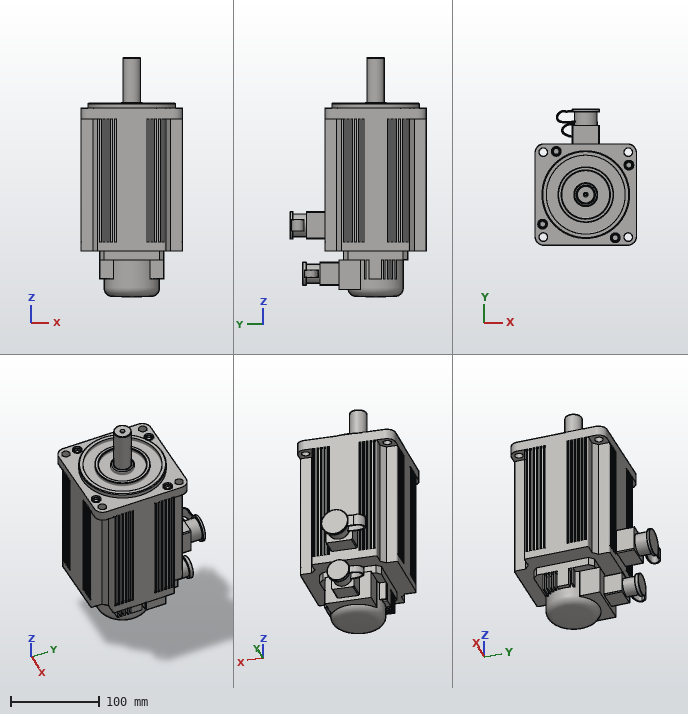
import cadquery as cq
import math


overall_length = 271.96
overall_depth = 154.81

square = 115.37
half = square / 2
flange_thickness = 12.3
flange_corner_radius = 10.5
body_length = 139.4
cap_length = 10.5
plate_thickness = 9.9
flange_bottom = -flange_thickness
body_bottom = flange_bottom - body_length
cap_bottom = body_bottom - cap_length
plate_bottom = cap_bottom - plate_thickness

notch_wall = 38.6
notch_diagonal = 44.2
notch_lip_radius = 2.1

groove_width = 2.1
groove_pitch = 4.25
groove_depth = 3.1
groove_last_start = 34.5
grooves_front = 5
grooves_side = 6

mount_hole_offset = 48.2
mount_hole_diameter = 9.44
screw_near = 33.5
screw_far = 49.0
counterbore_radius = 5.5
counterbore_depth = 6.3
head_radius = 4.7
head_height = 5.2
head_chamfer = 0.5
socket_flats = 6.3
socket_depth = 3.0

pilot_radius = 49.8
pilot_height = 5.9
pilot_inner_radius = 44.8
pilot_chamfer = 1.0
recess_depth = 5.2
floor_fillet = 1.0
ring_outer_radius = 31.5
ring_inner_radius = 27.2
ring_chamfer = 0.6
ring_inner_chamfer = 0.8
hub_radius = 13.6
hub_fillet = 1.0
collar_radius = 10.9
collar_height = 0.8
shaft_radius = 9.96
shaft_length = 57.6
shaft_chamfer = 0.5
center_mouth_radius = 2.6
center_tip_radius = 1.2
center_depth = 2.5

plate_half = 36.5
plate_chamfer = 5.2
dome_radius = 31.46
dome_bottom = shaft_length - overall_length
dome_edge_radius = 9.44
dome_crown = 0.7
shoulder_height = 21.5
shoulder_y_min = -23.5
shoulder_y_max = 12.4
pad_y_min = -6.6
pad_y_max = 7.4
fin_thickness = 1.7
fin_pitch = 4.2
fin_count = 4

block_half_width = 27.2
block_y_min = 17.2
block_y_max = 41.6
block_height = 33.9

box_chamfer = 1.2
connector_tip = overall_depth - half
power_z = -133.0
power_box_half = 15.73
power_box_end = 78.7
power_barrel_radius = 13.0
power_cap_thickness = 3.4
signal_z = -187.9
signal_box_half = 13.2
signal_box_end = 63.2
signal_barrel_radius = 10.8
signal_cap_end = 83.0
signal_cap_thickness = 4.7
cap_chamfer = 0.5

strap_thickness = 1.57
power_strap_width = 13.1
signal_strap_width = 8.4

power_strap_start = (-14.5, 95.0)
power_strap_straight_end = (-22.0, 94.2)
power_strap_arcs = [
    ((-30.2, 92.6), (-32.6, 88.1)),
    ((-31.7, 84.9), (-29.2, 83.0)),
    ((-24.0, 82.0), (-18.5, 82.1)),
    ((-15.3, 82.5), (-12.2, 83.0)),
]
signal_strap_start = (-12.0, 80.2)
signal_strap_straight_end = (-16.0, 79.7)
signal_strap_arcs = [
    ((-23.6, 77.8), (-26.8, 73.3)),
    ((-26.3, 71.4), (-25.1, 69.6)),
    ((-18.2, 66.3), (-10.0, 66.2)),
]

OVERLAP = 1.0


def block(x_range, y_range, z_range):
    """Axis-aligned box between the given limits."""
    size = [high - low for low, high in (x_range, y_range, z_range)]
    return cq.Workplane("XY").box(*size, centered=False).translate((x_range[0], y_range[0], z_range[0]))


def quarter_turns(shape, quarter):
    return shape.rotate((0, 0, 0), (0, 0, 1), 90 * quarter)


def make_flange():
    flange = cq.Workplane("XY").workplane(offset=flange_bottom).rect(square, square).extrude(flange_thickness)
    return flange.edges("|Z").fillet(flange_corner_radius)


def notched_prism(z_low, z_high):
    """Square prism with a stepped, lipped notch in each corner."""
    prism = block((-half, half), (-half, half), (z_low, z_high))
    notch_outline = [
        (notch_wall, half + OVERLAP),
        (notch_wall, notch_diagonal),
        (notch_diagonal, notch_wall),
        (half + OVERLAP, notch_wall),
        (half + OVERLAP, half + OVERLAP),
    ]
    notch = cq.Workplane("XY").workplane(offset=z_low).polyline(notch_outline).close().extrude(z_high - z_low)
    for quarter in range(4):
        prism = prism.cut(quarter_turns(notch, quarter))
    lips = prism.edges("|Z and (>X or <X or >Y or <Y)")
    return lips.fillet(notch_lip_radius)


def make_body():
    body = notched_prism(body_bottom, flange_bottom)
    for quarter in range(4):
        count = grooves_front if quarter % 2 == 0 else grooves_side
        for index in range(count):
            start = groove_last_start - index * groove_pitch
            for side in (-1, 1):
                x_range = sorted((side * start, side * (start + groove_width)))
                groove = block(x_range, (-half, -half + groove_depth), (body_bottom, flange_bottom))
                body = body.cut(quarter_turns(groove, quarter))
    return body


def make_pilot():
    """Pilot rim, raised ring, hub and shaft as one turned profile."""
    floor = pilot_height - recess_depth
    fillet_top = floor + floor_fillet
    hub_shoulder = pilot_height - hub_fillet
    collar_top = pilot_height + collar_height
    arc_drop = 1 - math.sqrt(0.5)

    def fillet_middle(wall_radius, direction):
        return (wall_radius + direction * floor_fillet * arc_drop, floor + floor_fillet * arc_drop)

    profile = (
        cq.Workplane("XZ")
        .moveTo(0, -OVERLAP)
        .lineTo(pilot_radius, -OVERLAP)
        .lineTo(pilot_radius, pilot_height - pilot_chamfer)
        .lineTo(pilot_radius - pilot_chamfer, pilot_height)
        .lineTo(pilot_inner_radius, pilot_height)
        .lineTo(pilot_inner_radius, fillet_top)
        .threePointArc(fillet_middle(pilot_inner_radius, -1), (pilot_inner_radius - floor_fillet, floor))
        .lineTo(ring_outer_radius + floor_fillet, floor)
        .threePointArc(fillet_middle(ring_outer_radius, 1), (ring_outer_radius, fillet_top))
        .lineTo(ring_outer_radius, pilot_height - ring_chamfer)
        .lineTo(ring_outer_radius - ring_chamfer, pilot_height)
        .lineTo(ring_inner_radius + ring_inner_chamfer, pilot_height)
        .lineTo(ring_inner_radius, pilot_height - ring_inner_chamfer)
        .lineTo(ring_inner_radius, fillet_top)
        .threePointArc(fillet_middle(ring_inner_radius, -1), (ring_inner_radius - floor_fillet, floor))
        .lineTo(hub_radius + floor_fillet, floor)
        .threePointArc(fillet_middle(hub_radius, 1), (hub_radius, fillet_top))
        .lineTo(hub_radius, hub_shoulder)
        .threePointArc(
            (hub_radius - hub_fillet * arc_drop, pilot_height - hub_fillet * arc_drop),
            (hub_radius - hub_fillet, pilot_height),
        )
        .lineTo(collar_radius, collar_top)
        .lineTo(shaft_radius, collar_top)
        .lineTo(shaft_radius, shaft_length - 2 * shaft_chamfer)
        .lineTo(shaft_radius - shaft_chamfer, shaft_length)
        .lineTo(center_mouth_radius, shaft_length)
        .lineTo(center_tip_radius, shaft_length - center_depth)
        .lineTo(0, shaft_length - center_depth)
        .close()
    )
    return profile.revolve(360, (0, 0, 0), (0, 1, 0))


def cut_mounting_holes(part):
    spacing = 2 * mount_hole_offset
    holes = (
        cq.Workplane("XY")
        .rect(spacing, spacing, forConstruction=True)
        .vertices()
        .circle(mount_hole_diameter / 2)
        .extrude(flange_bottom)
    )
    return part.cut(holes)


def fit_flange_screws(part):
    """Sink a socket-head screw into the flange near each corner."""
    counterbore = cq.Workplane("XY").circle(counterbore_radius).extrude(-counterbore_depth)
    socket_corner_diameter = socket_flats / math.cos(math.radians(30))
    head = (
        cq.Workplane("XY")
        .workplane(offset=-counterbore_depth)
        .circle(head_radius)
        .extrude(head_height)
        .faces(">Z")
        .chamfer(head_chamfer)
        .faces(">Z")
        .workplane()
        .polygon(6, socket_corner_diameter)
        .cutBlind(-socket_depth)
    )
    recess = counterbore.cut(head)
    for quarter in range(4):
        placed = recess.translate((-screw_near, screw_far, 0))
        part = part.cut(quarter_turns(placed, quarter))
    return part


def make_plate():
    plate = block((-plate_half, plate_half), (-plate_half, plate_half), (plate_bottom, cap_bottom))
    return plate.edges("|Z").chamfer(plate_chamfer)


def make_dome():
    """Round encoder cover with a rounded edge and a faintly crowned end."""
    edge_end = dome_bottom + dome_crown
    edge_start = edge_end + dome_edge_radius
    arc_inset = dome_edge_radius * (1 - math.sqrt(0.5))
    profile = (
        cq.Workplane("XZ")
        .moveTo(0, plate_bottom + OVERLAP)
        .lineTo(dome_radius, plate_bottom + OVERLAP)
        .lineTo(dome_radius, edge_start)
        .threePointArc(
            (dome_radius - arc_inset, edge_end + arc_inset),
            (dome_radius - dome_edge_radius, edge_end),
        )
        .lineTo(0, dome_bottom)
        .close()
    )
    return profile.revolve(360, (0, 0, 0), (0, 1, 0))


def make_shoulder():
    """Finned shoulder on the -X side of the dome."""
    x_range = (-plate_half, 0)
    z_range = (plate_bottom - shoulder_height, plate_bottom + OVERLAP)
    shoulder = block(x_range, (pad_y_min, pad_y_max), z_range)
    for index in range(fin_count):
        y_low = shoulder_y_min + index * fin_pitch
        shoulder = shoulder.union(block(x_range, (y_low, y_low + fin_thickness), z_range))
    return shoulder.union(block(x_range, (shoulder_y_max - fin_thickness, shoulder_y_max), z_range))


def make_connector_block():
    return block(
        (-block_half_width, block_half_width),
        (block_y_min, block_y_max),
        (plate_bottom - block_height, plate_bottom),
    )


def rod_along_y(radius, y_low, y_high, z):
    rod = cq.Workplane("XZ").circle(radius).extrude(-(y_high - y_low))
    return rod.translate((0, y_low, z))


def make_connector(z, box_half, box_start, box_end, barrel_radius, cap_thickness, cap_end):
    """Square socket box carrying a round barrel closed by a cap, pointing along +Y."""
    box = block((-box_half, box_half), (box_start, box_end), (z - box_half, z + box_half))
    box = box.edges("|Y").chamfer(box_chamfer)
    barrel = rod_along_y(barrel_radius, box_end - OVERLAP, cap_end - OVERLAP, z)
    cap = rod_along_y(box_half, cap_end - cap_thickness, cap_end, z).edges().chamfer(cap_chamfer)
    return box.union(barrel).union(cap)


def make_strap(start, straight_end, arcs, z, width):
    """Upright band along a straight stretch followed by arcs given as (middle, end) points."""
    path = cq.Workplane("XY").moveTo(*start).lineTo(*straight_end)
    for middle, end in arcs:
        path = path.threePointArc(middle, end)
    band = path.offset2D(strap_thickness / 2).extrude(width)
    return band.translate((0, 0, z - width / 2))


motor = make_flange().union(make_body()).union(notched_prism(cap_bottom, body_bottom))
motor = motor.union(make_pilot())
motor = cut_mounting_holes(motor)
motor = fit_flange_screws(motor)

shoulder = make_shoulder()
motor = motor.union(make_plate()).union(make_dome()).union(shoulder).union(shoulder.mirror("YZ"))
motor = motor.union(make_connector_block())

power_connector = make_connector(
    power_z, power_box_half, half - OVERLAP, power_box_end,
    power_barrel_radius, power_cap_thickness, connector_tip,
)
signal_connector = make_connector(
    signal_z, signal_box_half, block_y_max - OVERLAP, signal_box_end,
    signal_barrel_radius, signal_cap_thickness, signal_cap_end,
)
power_strap = make_strap(
    power_strap_start, power_strap_straight_end, power_strap_arcs, power_z, power_strap_width
)
signal_strap = make_strap(
    signal_strap_start, signal_strap_straight_end, signal_strap_arcs, signal_z, signal_strap_width
)
motor = motor.union(power_connector).union(power_strap)
motor = motor.union(signal_connector).union(signal_strap)

result = motor